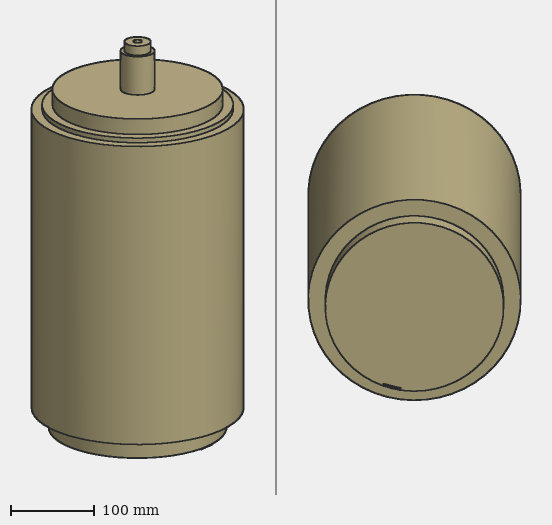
import cadquery as cq

BASE = (213.0, 25.0)
BODY = (254.0, 380.0)
COLLAR = (228.5, 6.0)
TOP_PLATE = (203.5, 19.5)
SHAFT = (41.0, 49.0)
SHAFT_TIP = (31.5, 12.0)
END_BUTTON = (10.5, 0.5)
STAGES = [BASE, BODY, COLLAR, TOP_PLATE, SHAFT, SHAFT_TIP, END_BUTTON]

PAD_LENGTH = 21.5
PAD_WIDTH = 2.5
PAD_HEIGHT = 1.0
PAD_RADIUS = 104.5
PAD_ANGLE = -14.0

def stacked_stages():
    """Stack the round stages on one axis, starting at Z = 0."""
    stack = cq.Workplane("XY")
    bottom = 0
    for diameter, height in STAGES:
        stage = cq.Workplane("XY").workplane(offset=bottom).circle(diameter / 2).extrude(height)
        stack = stack.union(stage)
        bottom += height
    return stack

def base_pad():
    """Thin bar hanging below the base."""
    return (
        cq.Workplane("XY")
        .center(PAD_RADIUS, 0)
        .rect(PAD_WIDTH, PAD_LENGTH)
        .extrude(-PAD_HEIGHT)
        .rotate((0, 0, 0), (0, 0, 1), PAD_ANGLE)
    )

result = stacked_stages().union(base_pad())